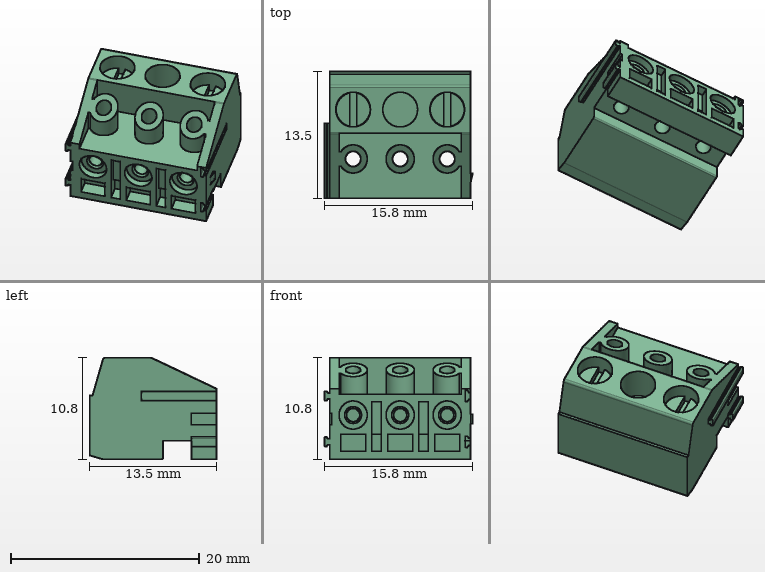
import cadquery as cq

BODY_WIDTH = 15.0
BODY_DEPTH = 13.5
BODY_HEIGHT = 10.8
SIDE_X = BODY_WIDTH / 2
POLE_PITCH = 5.0
POLE_XS = (-POLE_PITCH, 0.0, POLE_PITCH)

FRONT_TOP_Z = 7.5
SLOPE_TOP_Y = 6.95
REAR_TOP_Y = 12.05
REAR_STEP_Y = 13.2
REAR_STEP_Z = 6.8
REAR_CHAMFER_Y = 12.15
REAR_CHAMFER_Z = 0.4
TOP_EDGE_RADIUS = 0.3
NOTCH_EDGE_RADIUS = 0.15
FOOT_Y = 2.7
NOTCH_REAR_Y = 5.7
NOTCH_HEIGHT = 1.95

TROUGH_FLOOR_Z = 6.9
TROUGH_REAR_Y = 6.93
SIDE_WALL = 1.0
POST_Y = 4.2
POST_DIAMETER = 3.0
POST_BORE_DIAMETER = 1.6
POST_WEB_WIDTH = 1.5

WELL_Y = 9.45
WELL_DIAMETER = 3.7
SCREW_DEPTH = 1.65
SCREW_CLEARANCE = 0.04
EMPTY_WELL_DEPTH = 4.0
SCREW_SLOT_WIDTH = 0.73
SCREW_SLOT_DEPTH = 0.8

ENTRY_Z = 4.7
ENTRY_DIAMETER = 3.0
ENTRY_DEPTH = 0.8
CONE_DIAMETER = 1.8
CONE_DEPTH = 0.25
ENTRY_BORE_DIAMETER = 1.4
ENTRY_BORE_DEPTH = 1.35

POCKET_BOTTOM_Z = 0.87
POCKET_TOP_Z = 2.68
POCKET_WIDTH = 2.65
POCKET_DEPTH = 1.5
SLOT_TOP_Z = 6.1
SLOT_WIDTH = 1.0
SLOT_DEPTH = 0.85

UPPER_JOINT_Z = 6.73
LOWER_JOINT_Z = 1.86
UPPER_JOINT_LENGTH = 8.0
RAIL_DEPTH = 0.55
RAIL_HEAD = 1.04
RAIL_NECK = 0.67
RAIL_TAPER_DEPTHS = (0.22, 0.36)
JOINT_EDGE_RADIUS = 0.12
GROOVE_DEPTH = 0.6
GROOVE_HEAD = 1.22
GROOVE_NECK = 0.72
GROOVE_TAPER_DEPTHS = (0.22, 0.4)
LATCH_Z = 4.28
LATCH_HEIGHT = 1.05
LATCH_REACH = 0.23
LATCH_FRONT_Y = 1.7
RECESS_HEIGHT = 1.22
RECESS_DEPTH = 0.25


def box(x_range, y_range, z_range):
    """Box spanning three (low, high) ranges."""
    size = [high - low for low, high in (x_range, y_range, z_range)]
    corner = (x_range[0], y_range[0], z_range[0])
    return cq.Workplane("XY").box(*size, centered=False).translate(corner)


def front_plane(y):
    """Plane at depth y whose normal points into the body (+Y); local x is -X."""
    return cq.Workplane(cq.Plane(origin=(0, y, 0), xDir=(-1, 0, 0), normal=(0, 1, 0)))


def post_cylinder(x, diameter):
    """Full-height cylinder on a post axis."""
    return cq.Workplane("XY").center(x, POST_Y).circle(diameter / 2).extrude(BODY_HEIGHT)


def make_envelope():
    """Side profile swept across the width, with rounded top edges."""
    profile = [
        (0, 0),
        (FOOT_Y, 0),
        (FOOT_Y, NOTCH_HEIGHT),
        (NOTCH_REAR_Y, NOTCH_HEIGHT),
        (NOTCH_REAR_Y, 0),
        (REAR_CHAMFER_Y, 0),
        (BODY_DEPTH, REAR_CHAMFER_Z),
        (BODY_DEPTH, REAR_STEP_Z),
        (REAR_STEP_Y, REAR_STEP_Z),
        (REAR_TOP_Y, BODY_HEIGHT),
        (SLOPE_TOP_Y, BODY_HEIGHT),
        (0, FRONT_TOP_Z),
    ]
    body = cq.Workplane("YZ").polyline(profile).close().extrude(SIDE_X, both=True)
    body = body.faces(">Z").edges("|X").fillet(TOP_EDGE_RADIUS)
    notch_edge = cq.selectors.NearestToPointSelector((0, NOTCH_REAR_Y, 0))
    return body.edges("|X").edges(notch_edge).fillet(NOTCH_EDGE_RADIUS)


def make_trough():
    """Space removed above the trough floor, around the posts and their webs."""
    inner_x = SIDE_X - SIDE_WALL
    heights = (TROUGH_FLOOR_Z, BODY_HEIGHT)
    trough = box((-inner_x, inner_x), (0, TROUGH_REAR_Y), heights)
    for x in POLE_XS:
        trough = trough.cut(post_cylinder(x, POST_DIAMETER))
    web_ys = (POST_Y - POST_WEB_WIDTH / 2, POST_Y + POST_WEB_WIDTH / 2)
    trough = trough.cut(box((-inner_x, POLE_XS[0]), web_ys, heights))
    return trough.cut(box((POLE_XS[-1], inner_x), web_ys, heights))


def make_well(x, depth):
    """Round well sunk from the top face."""
    top = cq.Workplane("XY", origin=(x, WELL_Y, BODY_HEIGHT))
    return top.circle(WELL_DIAMETER / 2).extrude(-depth)


def make_screw_well(x):
    """Well around a slotted screw head, with a thin clearance ring around the head."""
    well_depth = SCREW_DEPTH + SCREW_SLOT_DEPTH
    head_radius = WELL_DIAMETER / 2 - SCREW_CLEARANCE
    well_floor = cq.Workplane("XY", origin=(x, WELL_Y, BODY_HEIGHT - well_depth))
    head = well_floor.circle(head_radius).extrude(SCREW_SLOT_DEPTH)
    half_slot = SCREW_SLOT_WIDTH / 2
    head = head.cut(box((x - half_slot, x + half_slot), (0, BODY_DEPTH), (0, BODY_HEIGHT)))
    return make_well(x, well_depth).cut(head)


def make_entry(x):
    """Counterbore, conical lead-in and blind bore entering from the front."""
    counterbore = front_plane(0).center(-x, ENTRY_Z).circle(ENTRY_DIAMETER / 2).extrude(ENTRY_DEPTH)
    cone = (
        front_plane(ENTRY_DEPTH)
        .center(-x, ENTRY_Z)
        .circle(CONE_DIAMETER / 2)
        .workplane(offset=CONE_DEPTH)
        .circle(ENTRY_BORE_DIAMETER / 2)
        .loft()
    )
    bore_start = front_plane(ENTRY_DEPTH + CONE_DEPTH).center(-x, ENTRY_Z)
    bore = bore_start.circle(ENTRY_BORE_DIAMETER / 2).extrude(ENTRY_BORE_DEPTH)
    return counterbore.union(cone).union(bore)


def make_front_pocket(x, width, depth, top_z):
    """Rectangular pocket in the front face."""
    return box((x - width / 2, x + width / 2), (0, depth), (POCKET_BOTTOM_Z, top_z))


def make_joint(side_x, z, length, depth, head, neck, taper_depths):
    """Bar along Y that extends towards -X from side_x and widens from neck to head."""
    head_x = side_x - depth
    taper_start_x = head_x + taper_depths[0]
    taper_end_x = head_x + taper_depths[1]
    upper = [
        (side_x, z + neck / 2),
        (taper_end_x, z + neck / 2),
        (taper_start_x, z + head / 2),
        (head_x, z + head / 2),
    ]
    lower = [(x, 2 * z - height) for x, height in reversed(upper)]
    outline = [(-x, height) for x, height in upper + lower]
    bar = front_plane(0).polyline(outline).close().extrude(length)
    return bar.faces("<X").edges("|Y").fillet(JOINT_EDGE_RADIUS)


def make_rail(z, length):
    """Solid rail standing out from the -X side."""
    return make_joint(-SIDE_X, z, length, RAIL_DEPTH, RAIL_HEAD, RAIL_NECK, RAIL_TAPER_DEPTHS)


def make_groove(z, length):
    """Undercut groove sunk into the +X side."""
    return make_joint(SIDE_X, z, length, GROOVE_DEPTH, GROOVE_HEAD, GROOVE_NECK, GROOVE_TAPER_DEPTHS)


def make_latch():
    """Wedge on the +X side, rising towards the rear."""
    outline = [(SIDE_X, LATCH_FRONT_Y), (SIDE_X + LATCH_REACH, FOOT_Y), (SIDE_X, FOOT_Y)]
    base = cq.Workplane("XY", origin=(0, 0, LATCH_Z - LATCH_HEIGHT / 2))
    return base.polyline(outline).close().extrude(LATCH_HEIGHT)


def make_latch_recess():
    """Shallow recess on the -X side that takes a neighbour's latch."""
    z_range = (LATCH_Z - RECESS_HEIGHT / 2, LATCH_Z + RECESS_HEIGHT / 2)
    return box((-SIDE_X, -SIDE_X + RECESS_DEPTH), (0, FOOT_Y), z_range)


body = make_envelope().cut(make_trough())

for x in POLE_XS:
    body = body.cut(post_cylinder(x, POST_BORE_DIAMETER))
    body = body.cut(make_entry(x))
    body = body.cut(make_front_pocket(x, POCKET_WIDTH, POCKET_DEPTH, POCKET_TOP_Z))

for x in (-POLE_PITCH / 2, POLE_PITCH / 2):
    body = body.cut(make_front_pocket(x, SLOT_WIDTH, SLOT_DEPTH, SLOT_TOP_Z))
    body = body.cut(make_front_pocket(x, SLOT_WIDTH, POCKET_DEPTH, POCKET_TOP_Z))

body = body.cut(make_screw_well(POLE_XS[0]))
body = body.cut(make_well(POLE_XS[1], EMPTY_WELL_DEPTH))
body = body.cut(make_screw_well(POLE_XS[2]))

for z, length in ((UPPER_JOINT_Z, UPPER_JOINT_LENGTH), (LOWER_JOINT_Z, FOOT_Y)):
    body = body.cut(make_groove(z, length))
    body = body.union(make_rail(z, length))

result = body.cut(make_latch_recess()).union(make_latch())